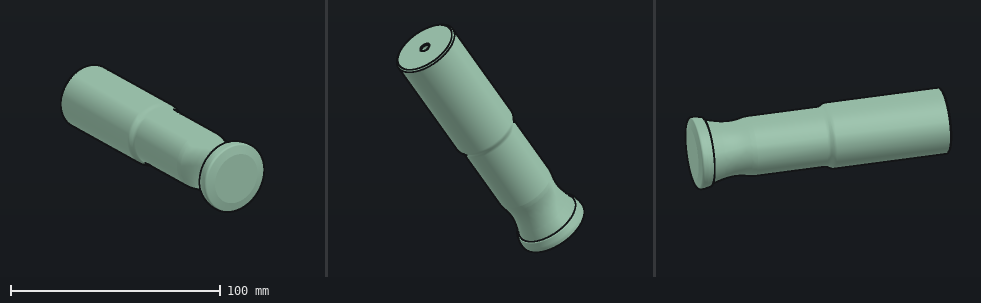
import cadquery as cq
import math

length = 124.0

shank_radius = 16.0
shank_chamfer_length = 0.7
shank_chamfer_height = 1.05

shoulder_start = 56.4
shoulder_fillet = 3.0
shoulder_angle = math.radians(30)

neck_radius = 14.5
neck_end = 95.3
neck_fillet = 10.0
waist_fillet = 25.5
flare_angle = math.radians(15)

head_radius = 17.5
head_back = 116.95
rim_angle = math.radians(12)
rim_back_fillet = 0.6
crown_fillet = 5.2
band_start = 121.0
band_end = 122.1
front_fillet = 1.15
front_angle = math.radians(79)
front_face_radius = 12.4

hole_radius = 2.1
hole_chamfer = 0.5
hole_depth = 10.0
hole_tip_half_angle = math.radians(59)

QUARTER_TURN = math.radians(90)


def arc_point(start, radius, from_angle, to_angle):
    """End point of an arc whose slope to the axis turns from one angle to another.

    A rising slope angle gives a hollow arc, a falling one a crowned arc.
    """
    signed_radius = math.copysign(radius, to_angle - from_angle)
    x = start[0] + signed_radius * (math.sin(to_angle) - math.sin(from_angle))
    r = start[1] + signed_radius * (math.cos(from_angle) - math.cos(to_angle))
    return x, r


def add_arc(outline, start, radius, from_angle, to_angle):
    """Add a slope-turning arc; return the longer outline and the arc's end point."""
    middle = arc_point(start, radius, from_angle, (from_angle + to_angle) / 2)
    end = arc_point(start, radius, from_angle, to_angle)
    return outline.threePointArc(middle, end), end


def revolve_about_x(outline):
    return outline.close().revolve(360, (0, 0, 0), (1, 0, 0))


def add_shank(outline):
    return (
        outline.lineTo(0, shank_radius - shank_chamfer_height)
        .lineTo(shank_chamfer_length, shank_radius)
        .lineTo(shoulder_start, shank_radius)
    )


def add_shoulder(outline):
    start = (shoulder_start, shank_radius)
    outline, cone_start = add_arc(outline, start, shoulder_fillet, 0, -shoulder_angle)
    fillet_drop = shank_radius - cone_start[1]
    cone_drop = shank_radius - neck_radius - 2 * fillet_drop
    cone_length = cone_drop / math.tan(shoulder_angle)
    cone_end = (cone_start[0] + cone_length, cone_start[1] - cone_drop)
    outline = outline.lineTo(*cone_end)
    outline, _ = add_arc(outline, cone_end, shoulder_fillet, -shoulder_angle, 0)
    return outline


def add_neck(outline):
    start = (neck_end, neck_radius)
    outline = outline.lineTo(*start)
    outline, waist_start = add_arc(outline, start, neck_fillet, 0, -flare_angle)
    outline, flare_start = add_arc(outline, waist_start, waist_fillet, -flare_angle, flare_angle)
    flare_rise = (head_back - flare_start[0]) * math.tan(flare_angle)
    return outline.lineTo(head_back, flare_start[1] + flare_rise)


def add_head(outline):
    crown_start = (
        band_start - crown_fillet * math.sin(rim_angle),
        head_radius - crown_fillet * (1 - math.cos(rim_angle)),
    )
    rim_start_x = head_back + rim_back_fillet * (1 - math.sin(rim_angle))
    rim_start_radius = crown_start[1] - (crown_start[0] - rim_start_x) * math.tan(rim_angle)
    back_edge = (head_back, rim_start_radius - rim_back_fillet * math.cos(rim_angle))

    outline = outline.lineTo(*back_edge)
    outline, _ = add_arc(outline, back_edge, rim_back_fillet, QUARTER_TURN, rim_angle)
    outline = outline.lineTo(*crown_start)
    outline, _ = add_arc(outline, crown_start, crown_fillet, rim_angle, 0)
    outline = outline.lineTo(band_end, head_radius)
    outline, _ = add_arc(outline, (band_end, head_radius), front_fillet, 0, -front_angle)
    return outline.lineTo(length, front_face_radius).lineTo(length, 0)


def make_body():
    outline = cq.Workplane("XY")
    for add_section in (add_shank, add_shoulder, add_neck, add_head):
        outline = add_section(outline)
    return revolve_about_x(outline)


def make_hole():
    tip_depth = hole_radius / math.tan(hole_tip_half_angle)
    outline = (
        cq.Workplane("XY")
        .lineTo(0, hole_radius + hole_chamfer)
        .lineTo(hole_chamfer, hole_radius)
        .lineTo(hole_depth, hole_radius)
        .lineTo(hole_depth + tip_depth, 0)
    )
    return revolve_about_x(outline)


result = make_body().cut(make_hole())